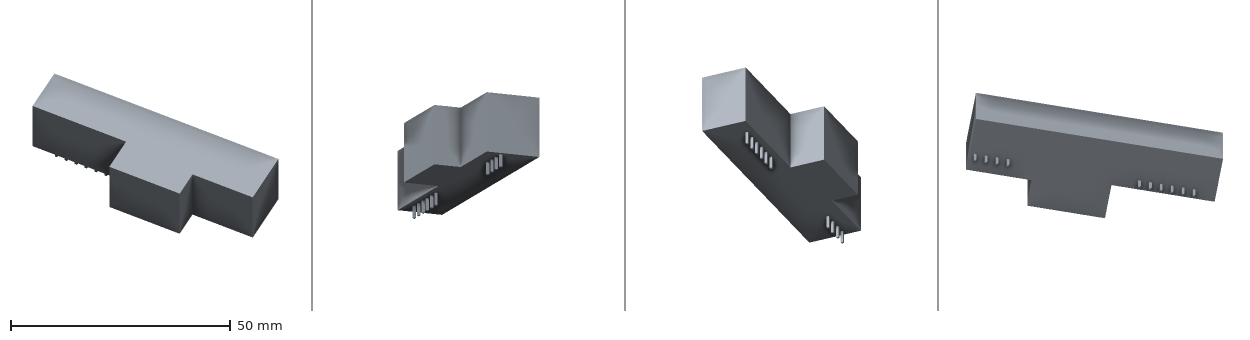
import cadquery as cq

housing_length = 57.3
housing_depth = 11.0
housing_height = 14.0

step_start = 23.9
step_depth = 2.0
block_length = 18.0
block_depth = 6.5

pin_pitch = 2.54
pin_width = 0.6
pin_length = 3.03
pin_tip_chamfer = 0.2
pin_embed = 0.5
first_pin_x = 5.12
pin_row_y = 2.0
first_group_count = 6
second_group_start = 17
second_group_count = 4
pin_positions = [
    *range(first_group_count),
    *range(second_group_start, second_group_start + second_group_count),
]


def make_full_height_box(x, y, length, depth):
    """Box of the housing height with its lower -X, -Y corner at (x, y, 0)."""
    box = cq.Workplane("XY").box(length, depth, housing_height, centered=False)
    return box.translate((x, y, 0))


def make_housing():
    """Long housing with the step and the block stacked on its -Y face."""
    main_body = make_full_height_box(0, 0, housing_length, housing_depth)
    step_length = housing_length - step_start
    step = make_full_height_box(step_start, -step_depth, step_length, step_depth)
    block_front = -(step_depth + block_depth)
    block = make_full_height_box(step_start, block_front, block_length, block_depth)
    return main_body.union(step).union(block)


def make_pin(position):
    """Square pin with a chamfered tip at the given grid position."""
    pin_x = first_pin_x + position * pin_pitch
    return (
        cq.Workplane("XY", origin=(pin_x, pin_row_y, -pin_length))
        .rect(pin_width, pin_width)
        .extrude(pin_length + pin_embed)
        .faces("<Z")
        .chamfer(pin_tip_chamfer)
    )


result = make_housing()
for pin_position in pin_positions:
    result = result.union(make_pin(pin_position))